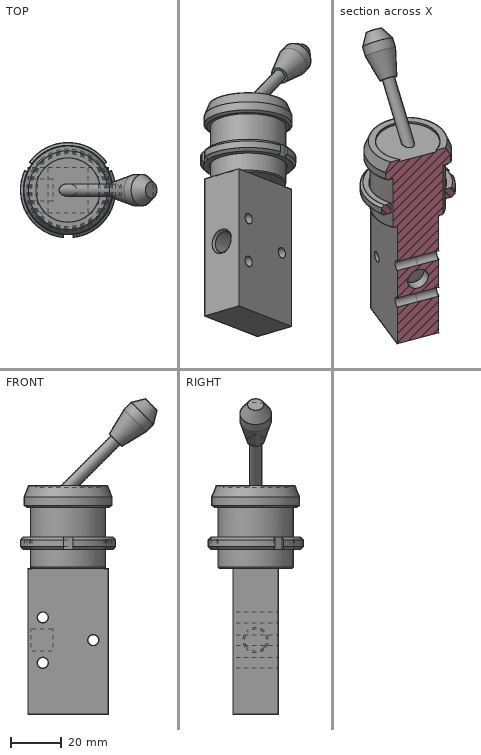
import cadquery as cq

BLOCK_X = 32.0
BLOCK_Y = 18.0
BLOCK_TOP = 57.9
HOLE_D = 4.3
HOLE_OFFSET_X = 10.0
HOLE_PITCH_Z = 9.0
PORT_Z = 29.5
PORT_D = 8.8
PORT_RIM_D = 10.0
PORT_DEPTH = 10.0
PORT_CHAMFER_DEPTH = 1.3

NECK_D = 30.0
NECK_CHAMFER = 0.5
HEAD_D = 35.0
HEAD_TOP_D = 31.3
HEAD_BOTTOM = 82.2
HEAD_SHOULDER = 86.3
HEAD_TOP = 90.8
HEAD_CHAMFER_HEIGHT = 0.8
HEAD_CHAMFER_WIDTH = 1.1
RECESS_D = 25.5
RECESS_DEPTH = 0.9
RECESS_FLOOR = HEAD_TOP - RECESS_DEPTH

LEVER_ANGLE = 45
LEVER_LENGTH = 46.7
ROD_D = 5.0
ROD_ROOT = 5.0
KNOB_LENGTH = 20.0
KNOB_BASE_D = 7.0
KNOB_D = 12.5
KNOB_TIP_D = 6.5
KNOB_CONE_LENGTH = 11.0
KNOB_BAND_LENGTH = 4.0

NUT_D = 37.8
NUT_CLEARANCE = 0.44
NUT_BORE_D = NECK_D + 2 * NUT_CLEARANCE
NUT_BOTTOM = 65.4
NUT_HEIGHT = 5.0
NUT_CHAMFER = 1.1
SLOT_WIDTH = 3.8
SLOT_FLOOR_RADIUS = 17.7
SLOT_ANGLES = (30, 150, 270)


def make_block():
    """Rectangular valve block with three cross holes and a port in the -X side."""
    block = cq.Workplane("XY").box(BLOCK_X, BLOCK_Y, BLOCK_TOP, centered=(True, True, False))
    hole_places = [
        (-HOLE_OFFSET_X, PORT_Z - HOLE_PITCH_Z),
        (-HOLE_OFFSET_X, PORT_Z + HOLE_PITCH_Z),
        (HOLE_OFFSET_X, PORT_Z),
    ]
    holes = (
        cq.Workplane("XZ").pushPoints(hole_places).circle(HOLE_D / 2).extrude(BLOCK_Y, both=True)
    )
    return block.cut(holes).cut(make_port())


def make_port():
    """Blind port cutter with a chamfered mouth, along +X from the block side."""
    profile = [
        (0, 0),
        (0, PORT_RIM_D / 2),
        (PORT_CHAMFER_DEPTH, PORT_D / 2),
        (PORT_DEPTH, PORT_D / 2),
        (PORT_DEPTH, 0),
    ]
    side = cq.Workplane("XZ", origin=(-BLOCK_X / 2, 0, PORT_Z))
    return side.polyline(profile).close().revolve(360, (0, 0), (1, 0))


def make_neck_and_head():
    """Cylindrical neck with a tapered head and a shallow round recess on top."""
    neck_radius = NECK_D / 2
    head_radius = HEAD_D / 2
    profile = [
        (0, BLOCK_TOP),
        (neck_radius - NECK_CHAMFER, BLOCK_TOP),
        (neck_radius, BLOCK_TOP + NECK_CHAMFER),
        (neck_radius, HEAD_BOTTOM),
        (head_radius - HEAD_CHAMFER_WIDTH, HEAD_BOTTOM),
        (head_radius, HEAD_BOTTOM + HEAD_CHAMFER_HEIGHT),
        (head_radius, HEAD_SHOULDER),
        (HEAD_TOP_D / 2, HEAD_TOP),
        (RECESS_D / 2, HEAD_TOP),
        (RECESS_D / 2, RECESS_FLOOR),
        (0, RECESS_FLOOR),
    ]
    return cq.Workplane("XZ").polyline(profile).close().revolve(360, (0, 0), (0, 1))


def make_lever():
    """Round rod with a tapered knob, rooted inside the head and tilted towards +X."""
    knob_base = LEVER_LENGTH - KNOB_LENGTH
    band_start = knob_base + KNOB_CONE_LENGTH
    profile = [
        (0, -ROD_ROOT),
        (ROD_D / 2, -ROD_ROOT),
        (ROD_D / 2, knob_base),
        (KNOB_BASE_D / 2, knob_base),
        (KNOB_D / 2, band_start),
        (KNOB_D / 2, band_start + KNOB_BAND_LENGTH),
        (KNOB_TIP_D / 2, LEVER_LENGTH),
        (0, LEVER_LENGTH),
    ]
    upright = cq.Workplane("XZ").polyline(profile).close().revolve(360, (0, 0), (0, 1))
    tilted = upright.rotate((0, 0, 0), (0, 1, 0), LEVER_ANGLE)
    return tilted.translate((0, 0, RECESS_FLOOR))


def make_valve():
    """Block, neck, head and lever as one body."""
    return make_block().union(make_neck_and_head()).union(make_lever())


def make_ring_nut():
    """Chamfered ring with clearance around the neck and three spanner slots in its rim."""
    nut = cq.Workplane("XY", origin=(0, 0, NUT_BOTTOM)).circle(NUT_D / 2).extrude(NUT_HEIGHT)
    nut = nut.edges().chamfer(NUT_CHAMFER)
    bore = cq.Workplane("XY", origin=(0, 0, NUT_BOTTOM)).circle(NUT_BORE_D / 2).extrude(NUT_HEIGHT)
    nut = nut.cut(bore)
    slot_length = NUT_D / 2
    for angle in SLOT_ANGLES:
        slot = cq.Workplane("XY").box(
            slot_length, SLOT_WIDTH, NUT_HEIGHT, centered=(False, True, False)
        )
        slot = slot.translate((SLOT_FLOOR_RADIUS, 0, NUT_BOTTOM))
        nut = nut.cut(slot.rotate((0, 0, 0), (0, 0, 1), angle))
    return nut


valve = make_valve()
ring_nut = make_ring_nut()

result = cq.Compound.makeCompound([valve.val(), ring_nut.val()])